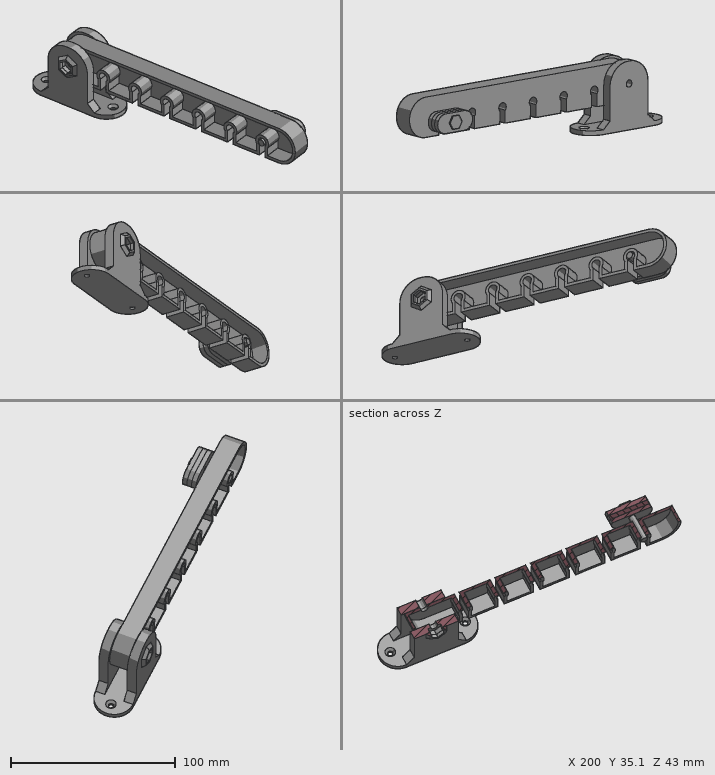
import cadquery as cq
import math


overall_length = 200.0

base_length = 65.0
base_width = 24.8
base_thickness = 3.0
cheek_width = 29.8
cheek_corner_radius = 14.0
cheek_foot_height = 7.8
bracket_height = 43.0
pivot_height = bracket_height - cheek_corner_radius
pivot_hole_diameter = 4.5
screw_hole_diameter = 3.2
countersink_diameter = 6.5
countersink_angle = 90
screw_hole_offset = 25.2

collar_base_flats = 14.2
collar_front_flats = 10.5
collar_height = 2.2
socket_flats = 8.2
socket_depth = 5.2
collar_turn = 30

arm_width = 12.5
arm_height = 25.2
arm_wall = 2.0
arm_back_thickness = 2.0
slot_count = 6
slot_pitch = 24.0
first_slot_x = 22.5
slot_drop = 2.5
slot_neck_width = 4.2
slot_bulb_diameter = 5.8

bolt_diameter = 4.2
bolt_front_y = -7.5
bolt_head_flats = 8.2
bolt_head_height = 1.0
knob_plate_count = 3
knob_plate_thickness = 3.0
knob_length = 27.5
knob_height = 12.2
knob_front_y = 10.5

cheek_thickness = (base_width - arm_width) / 2
front_face_y = -base_width / 2
collar_front_y = front_face_y - collar_height
arm_end_x = overall_length - base_length / 2
arm_radius = arm_height / 2
arm_far_center_x = arm_end_x - arm_radius
slot_height = pivot_height - slot_drop
bolt_x = first_slot_x + (slot_count - 1) * slot_pitch
knob_back_y = knob_front_y + knob_plate_count * knob_plate_thickness


def plane_facing_front(x, y, z):
    """Plane with local axes X and Z whose normal points toward -Y."""
    return cq.Plane(origin=(x, y, z), xDir=(1, 0, 0), normal=(0, -1, 0))


def rod(diameter, x, z, back_y, front_y):
    """Cylinder parallel to Y."""
    return cq.Workplane(plane_facing_front(x, back_y, z)).circle(diameter / 2).extrude(back_y - front_y)


def hexagon(workplane, flats, turn=0):
    """Hexagon given by its width across flats; corners lie on local X when turn is 0."""
    corner_radius = flats / math.sqrt(3)
    angles = [math.radians(turn + 60 * i) for i in range(6)]
    corners = [(corner_radius * math.cos(a), corner_radius * math.sin(a)) for a in angles]
    return workplane.polyline(corners).close()



def make_base():
    screw_points = [(-screw_hole_offset, 0), (screw_hole_offset, 0)]
    plate = cq.Workplane("XY").slot2D(base_length, base_width).extrude(base_thickness)
    return (
        plate.faces(">Z").workplane(origin=(0, 0, 0)).pushPoints(screw_points)
        .cskHole(screw_hole_diameter, countersink_diameter, countersink_angle)
    )


def make_cheek(back_y):
    half_width = cheek_width / 2
    half_foot = (base_length - base_width) / 2
    upright = (
        cq.Workplane(plane_facing_front(0, back_y, bracket_height / 2))
        .rect(cheek_width, bracket_height).extrude(cheek_thickness)
        .edges("|Y and >Z").fillet(cheek_corner_radius)
    )
    foot = (
        cq.Workplane(plane_facing_front(0, back_y, 0))
        .polyline([
            (-half_foot, 0),
            (half_foot, 0),
            (half_foot, base_thickness),
            (half_width, cheek_foot_height),
            (-half_width, cheek_foot_height),
            (-half_foot, base_thickness),
        ])
        .close().extrude(cheek_thickness)
    )
    return upright.union(foot)


def make_bracket():
    bracket = make_base()
    for back_y in (-arm_width / 2, base_width / 2):
        bracket = bracket.union(make_cheek(back_y))
    bracket = bracket.cut(make_socket())
    return bracket.cut(rod(pivot_hole_diameter, 0, pivot_height, base_width / 2, front_face_y))



def make_socket():
    """Hexagonal recess that runs through the collar and on into the front cheek."""
    floor_plane = plane_facing_front(0, collar_front_y + socket_depth, pivot_height)
    return hexagon(cq.Workplane(floor_plane), socket_flats, collar_turn).extrude(socket_depth)


def make_collar():
    base_plane = plane_facing_front(0, front_face_y, pivot_height)
    base_outline = hexagon(cq.Workplane(base_plane), collar_base_flats, collar_turn)
    body = hexagon(base_outline.workplane(offset=collar_height), collar_front_flats, collar_turn).loft(combine=True)
    return body.cut(make_socket())



def arm_outline(inset, back_y, front_y):
    """Round-ended bar, smaller all round than the arm by the inset."""
    return (
        cq.Workplane(plane_facing_front(arm_far_center_x / 2, back_y, pivot_height))
        .slot2D(arm_far_center_x + arm_height - 2 * inset, arm_height - 2 * inset)
        .extrude(back_y - front_y)
    )


def keyhole(x, growth, back_y, front_y):
    """Round-topped slot open at the bottom edge of the arm, widened all round by the growth."""
    neck_depth = slot_height - (pivot_height - arm_radius)
    neck = (
        cq.Workplane(plane_facing_front(x, back_y, slot_height - neck_depth / 2))
        .rect(slot_neck_width + 2 * growth, neck_depth).extrude(back_y - front_y)
    )
    return neck.union(rod(slot_bulb_diameter + 2 * growth, x, slot_height, back_y, front_y))


def make_arm():
    back_y = arm_width / 2
    front_y = -arm_width / 2
    pocket_floor_y = back_y - arm_back_thickness
    slot_places = [first_slot_x + i * slot_pitch for i in range(slot_count)]
    pocket = arm_outline(arm_wall, pocket_floor_y, front_y)
    for x in slot_places:
        pocket = pocket.cut(keyhole(x, arm_wall, pocket_floor_y, front_y))
    arm = arm_outline(0, back_y, front_y).cut(pocket)
    for x in slot_places:
        arm = arm.cut(keyhole(x, 0, back_y, front_y))
    return arm.cut(rod(pivot_hole_diameter, 0, pivot_height, back_y, front_y))



def make_bolt():
    head_plane = plane_facing_front(bolt_x, knob_back_y + bolt_head_height, slot_height)
    head = hexagon(cq.Workplane(head_plane), bolt_head_flats).extrude(bolt_head_height)
    return head.union(rod(bolt_diameter, bolt_x, slot_height, knob_back_y, bolt_front_y))


def make_knob_plate(index):
    front_y = knob_front_y + index * knob_plate_thickness
    back_y = front_y + knob_plate_thickness
    plate = (
        cq.Workplane(plane_facing_front(bolt_x, back_y, slot_height))
        .slot2D(knob_length, knob_height).extrude(knob_plate_thickness)
    )
    return plate.cut(rod(bolt_diameter, bolt_x, slot_height, back_y, front_y))


bracket = make_bracket()
collar = make_collar()
arm = make_arm()
bolt = make_bolt()
knob_plates = [make_knob_plate(i) for i in range(knob_plate_count)]

result = cq.Compound.makeCompound([
    bracket.val(),
    collar.val(),
    arm.val(),
    bolt.val(),
    *[plate.val() for plate in knob_plates],
])